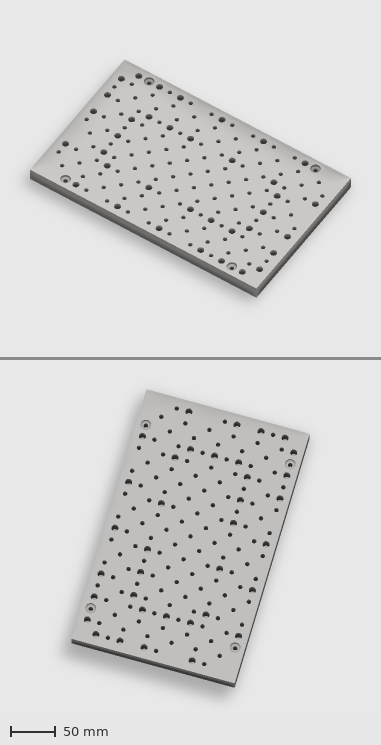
import cadquery as cq

LENGTH = 305.0
WIDTH = 190.0
HEIGHT = 16.5
COVER_THICKNESS = 4.0
BASE_THICKNESS = HEIGHT - COVER_THICKNESS

LAST_COLUMN = 10
LAST_ROW = 6
END_MARGIN = 12.5
PITCH = (LENGTH - 2 * END_MARGIN) / (2 * LAST_COLUMN)

SMALL_RADIUS = 2.53
SMALL_DIAMETER = 2 * SMALL_RADIUS
LARGE_DIAMETER = 8.0

MOUNT_COLUMN = 8
MOUNT_ROW = LAST_ROW
MOUNT_DIAMETER = 5.2
COUNTERBORE_DIAMETER = 12.0
COUNTERBORE_DEPTH = 3.0

SHORT_ROW = 2

LARGE_COLUMNS_BY_ROW = {
    6: [-9, -7, -5, -1, 3, 7],
    5: [-10],
    3: [-10, -6, -4, -2, 2, 6, 10],
    2: [-7, 7],
    1: [-10],
    0: [7],
}


def place(column, row):
    """Centre of a grid place in X and Y."""
    return (column * PITCH, row * PITCH)


def mount_centres():
    columns = (-MOUNT_COLUMN, MOUNT_COLUMN)
    rows = (-MOUNT_ROW, MOUNT_ROW)
    return [place(column, row) for column in columns for row in rows]


def large_centres():
    centres = []
    for row, columns in LARGE_COLUMNS_BY_ROW.items():
        for column in columns:
            centres += [place(column, row), place(-column, -row)]
    return centres


def is_small_hole(column, row):
    """Small holes fill a checkerboard, less the corners and the ends of the short rows."""
    on_checkerboard = (column + row) % 2 == 0
    at_corner = abs(row) == MOUNT_ROW and abs(column) >= MOUNT_COLUMN
    at_short_row_end = abs(row) == SHORT_ROW and abs(column) == LAST_COLUMN
    return on_checkerboard and not at_corner and not at_short_row_end


def small_centres():
    columns = range(-LAST_COLUMN, LAST_COLUMN + 1)
    rows = range(-LAST_ROW, LAST_ROW + 1)
    return [place(column, row) for column in columns for row in rows if is_small_hole(column, row)]


def on_top(plate, centres):
    """Points on the plate's top face, ready for drilling."""
    return plate.faces(">Z").workplane(origin=(0, 0, 0)).pushPoints(centres)


def grid_plate(bottom, thickness):
    """Plate with the small and large grid holes right through it."""
    plate = cq.Workplane("XY", origin=(0, 0, bottom)).rect(LENGTH, WIDTH).extrude(thickness)
    plate = on_top(plate, small_centres()).hole(SMALL_DIAMETER)
    return on_top(plate, large_centres()).hole(LARGE_DIAMETER)


def make_base():
    plate = grid_plate(0, BASE_THICKNESS)
    return on_top(plate, mount_centres()).hole(MOUNT_DIAMETER)


def make_cover():
    plate = grid_plate(BASE_THICKNESS, COVER_THICKNESS)
    return on_top(plate, mount_centres()).cboreHole(
        MOUNT_DIAMETER, COUNTERBORE_DIAMETER, COUNTERBORE_DEPTH
    )


base = make_base()
cover = make_cover()
result = cq.Compound.makeCompound([base.val(), cover.val()])